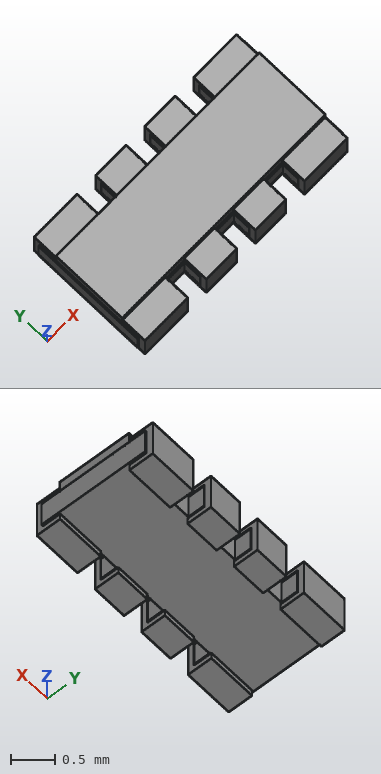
import cadquery as cq

substrate_length = 3.35
substrate_width = 1.56
substrate_thickness = 0.4
notch_length = 0.28
notched_width = 1.085

cover_length = 3.32
cover_width = 1.045

terminal_pitch = 0.8
terminal_gap = 0.3
terminal_row_length = 3.303
terminal_outer_width = 1.75
terminal_height = 0.6
terminal_plating = 0.1

overall_height = 0.7
substrate_top = terminal_plating + substrate_thickness
gap_centres = [-terminal_pitch, 0, terminal_pitch]


def block(length, width, bottom, top, x=0.0, y=0.0):
    """Box centred on (x, y), spanning bottom to top in Z."""
    return (
        cq.Workplane("XY", origin=(x, y, bottom))
        .rect(length, width)
        .extrude(top - bottom)
    )


def make_substrate():
    """Plate with three notches along each long edge."""
    plate = block(substrate_length, substrate_width, terminal_plating, substrate_top)
    notch_depth = (substrate_width - notched_width) / 2
    notch_y = (substrate_width - notch_depth) / 2
    for x in gap_centres:
        for side in (-1, 1):
            plate = plate.cut(
                block(notch_length, notch_depth, terminal_plating, substrate_top, x, side * notch_y)
            )
    return plate


def make_terminals():
    """Two rows of four terminals, flush with the cover's long sides."""
    depth = (terminal_outer_width - cover_width) / 2
    row_y = (terminal_outer_width - depth) / 2
    starts = [-terminal_row_length / 2] + [x + terminal_gap / 2 for x in gap_centres]
    ends = [x - terminal_gap / 2 for x in gap_centres] + [terminal_row_length / 2]
    terminals = cq.Workplane("XY")
    for start, end in zip(starts, ends):
        for side in (-1, 1):
            terminals = terminals.add(
                block(end - start, depth, 0, terminal_height, (start + end) / 2, side * row_y)
            )
    return terminals


cover = block(cover_length, cover_width, substrate_top, overall_height)
result = make_substrate().union(cover)
for terminal in make_terminals().vals():
    result = result.union(cq.Workplane(terminal))